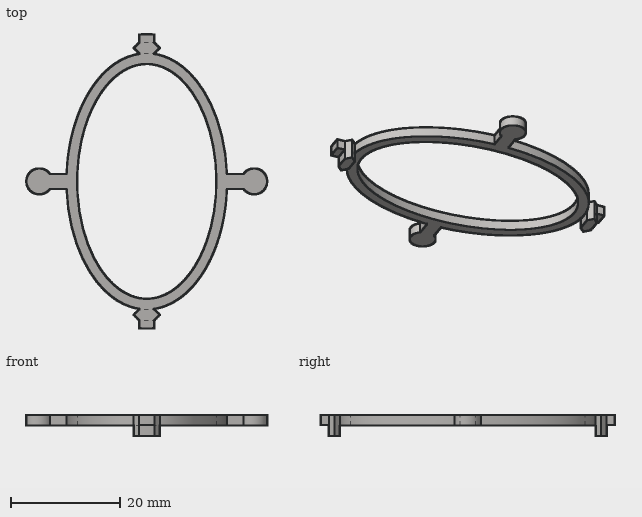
import cadquery as cq
import math

thickness = 2.0
ring_width = 2.0
inner_half_x = 12.75
inner_half_y = 21.5
outer_half_x = inner_half_x + ring_width
outer_half_y = inner_half_y + ring_width

arm_width = 2.8
arm_reach = 22.1
head_radius = 2.4
head_center_x = arm_reach - head_radius

tab_width = 2.8
tab_thickness = 1.9
tab_reach = 27.0
post_height = 3.9
post_tip_width = 4.8
post_depth = 2.0
post_near_radius = outer_half_y
post_far_radius = post_near_radius + post_depth


def oval(half_x, half_y):
    """Oval plate, long along Y, hanging below Z = 0."""
    quarter_turn = 90
    outline = cq.Workplane("XY").ellipse(half_y, half_x, rotation_angle=quarter_turn)
    return outline.extrude(-thickness)


def ring():
    return oval(outer_half_x, outer_half_y).cut(oval(inner_half_x, inner_half_y))


def arm():
    """Straight arm along +X, from mid-wall of the ring to a round head."""
    start_x = inner_half_x + ring_width / 2
    length = head_center_x - start_x
    bar = cq.Workplane("XY").center(start_x + length / 2, 0).rect(length, arm_width).extrude(-thickness)
    head = cq.Workplane("XY").center(head_center_x, 0).circle(head_radius).extrude(-thickness)
    return bar.union(head)


def height_on_circle(radius, x):
    """Y of the point at x on a circle about the part's center."""
    return math.sqrt(radius**2 - x**2)


def post():
    """Tall hexagonal post at +Y, points facing along X, outer face curved about the part's center."""
    half_face = tab_width / 2
    half_tip = post_tip_width / 2
    near_corner_y = height_on_circle(post_near_radius, half_face)
    far_corner_y = height_on_circle(post_far_radius, half_face)
    tip_y = (near_corner_y + far_corner_y) / 2
    return (
        cq.Workplane("XY")
        .moveTo(-half_face, near_corner_y)
        .lineTo(-half_tip, tip_y)
        .lineTo(-half_face, far_corner_y)
        .threePointArc((0, post_far_radius), (half_face, far_corner_y))
        .lineTo(half_tip, tip_y)
        .lineTo(half_face, near_corner_y)
        .close()
        .extrude(-post_height)
    )


def tab():
    """Thin tab at +Y, from mid-wall of the ring through the post to an end curved about the part's center."""
    half_width = tab_width / 2
    start_y = inner_half_y + ring_width / 2
    end_corner_y = height_on_circle(tab_reach, half_width)
    return (
        cq.Workplane("XY")
        .moveTo(-half_width, start_y)
        .lineTo(-half_width, end_corner_y)
        .threePointArc((0, tab_reach), (half_width, end_corner_y))
        .lineTo(half_width, start_y)
        .close()
        .extrude(-tab_thickness)
    )


result = ring()
for projection in (arm(), post(), tab()):
    result = result.union(projection.mirror("YZ").mirror("XZ")).union(projection)